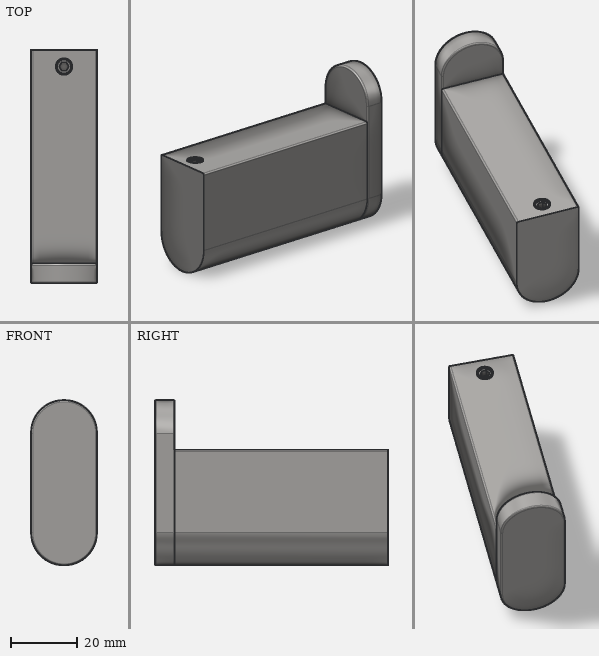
import cadquery as cq
import math

width = 20.0
end_radius = width / 2
total_depth = 70.5

plate_height = 50.0
plate_thickness = 6.0
plate_fillet = 0.5

arm_length = total_depth - plate_thickness
arm_height = 35.0
arm_fillet = 0.5
arm_bottom = -plate_height / 2
arm_top = arm_bottom + arm_height
arc_centre_z = arm_bottom + end_radius

sleeve_outer_diameter = 5.0
sleeve_inner_diameter = 4.2
sleeve_length = 5.5
sleeve_from_back = 5.0
sleeve_y = total_depth - sleeve_from_back

screw_recess = 0.5
screw_length = sleeve_length - screw_recess
screw_top = arm_top - screw_recess
hex_across_flats = 2.5
hex_across_corners = hex_across_flats * 2 / math.sqrt(3)
hex_depth = 2.5


def make_plate():
    """Upright plate with round ends and softened front and back rims."""
    blank = (
        cq.Workplane("XZ")
        .slot2D(plate_height, width, 90)
        .extrude(-plate_thickness)
    )
    return blank.faces("<Y or >Y").edges().fillet(plate_fillet)


def make_arm():
    """Straight arm with a half-round underside, a flat top and a blind pocket for the sleeve."""
    blank = (
        cq.Workplane("XZ", origin=(0, plate_thickness, 0))
        .moveTo(-end_radius, arc_centre_z)
        .threePointArc((0, arm_bottom), (end_radius, arc_centre_z))
        .lineTo(end_radius, arm_top)
        .lineTo(-end_radius, arm_top)
        .close()
        .extrude(-arm_length)
    )
    rounded = blank.faces(">Z").edges("|Y").fillet(arm_fillet)
    sleeve_pocket = (
        cq.Workplane("XY", origin=(0, sleeve_y, arm_top))
        .circle(sleeve_outer_diameter / 2)
        .extrude(-sleeve_length)
    )
    return rounded.cut(sleeve_pocket)


def make_sleeve():
    """Plain ring that fills the arm's pocket and surrounds the set screw."""
    return (
        cq.Workplane("XY", origin=(0, sleeve_y, arm_top))
        .circle(sleeve_outer_diameter / 2)
        .circle(sleeve_inner_diameter / 2)
        .extrude(-sleeve_length)
    )


def make_set_screw():
    """Set screw sunk just below the sleeve's top, with a hexagon socket."""
    body = (
        cq.Workplane("XY", origin=(0, sleeve_y, screw_top))
        .circle(sleeve_inner_diameter / 2)
        .extrude(-screw_length)
    )
    socket = (
        cq.Workplane("XY", origin=(0, sleeve_y, screw_top))
        .polygon(6, hex_across_corners)
        .extrude(-hex_depth)
    )
    return body.cut(socket)


plate = make_plate()
arm = make_arm()
sleeve = make_sleeve()
set_screw = make_set_screw()

result = cq.Compound.makeCompound([plate.val(), arm.val(), sleeve.val(), set_screw.val()])